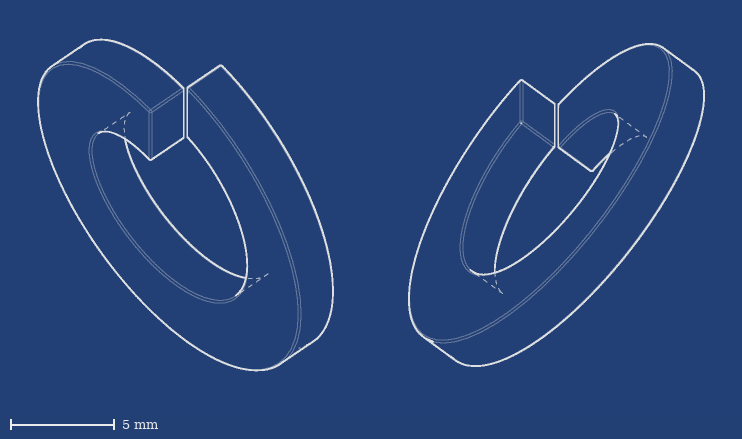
import cadquery as cq

outer_diameter = 18.1
inner_diameter = 10.2
thickness = 2.2
end_gap = 0.1
edge_radius = 0.099

outer_radius = outer_diameter / 2
inner_radius = inner_diameter / 2
mean_radius = (outer_radius + inner_radius) / 2
section_width = outer_radius - inner_radius
pitch = thickness + end_gap


def wind_section():
    """Sweep the section through one left-hand turn about Z, starting on the +X side."""
    helix = cq.Wire.makeHelix(pitch, pitch, mean_radius, lefthand=True)
    section = cq.Workplane("XZ").center(mean_radius, 0).rect(section_width, thickness)
    return section.sweep(cq.Workplane(obj=helix), isFrenet=True)


def stand_up(coil):
    """Centre the coil, lay its axis along Y and turn the split to the top (+Z)."""
    centred = coil.translate((0, 0, -pitch / 2))
    axis_along_y = centred.rotate((0, 0, 0), (1, 0, 0), -90)
    return axis_along_y.rotate((0, 0, 0), (0, 1, 0), -90)


washer = stand_up(wind_section())
result = washer.edges().fillet(edge_radius)